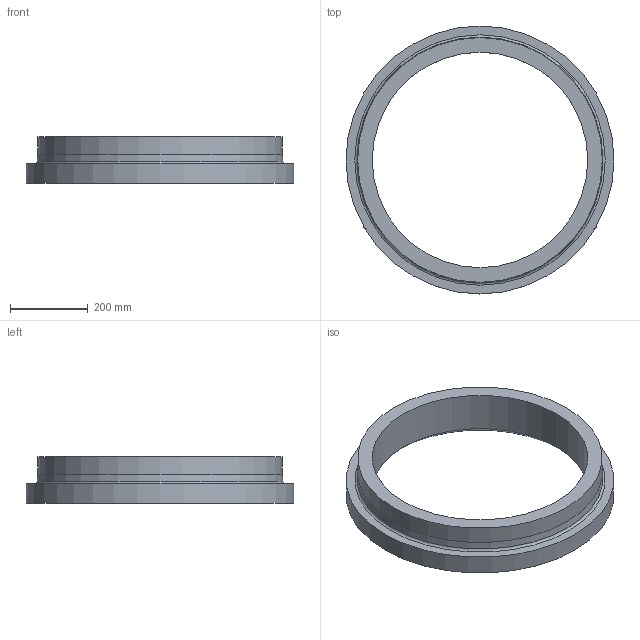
import cadquery as cq
import math

height = 120.0
flange_radius = 345.0
flange_height = 50.0
neck_radius = 315.0
bore_radius = 277.5
taper_top = 75.0
taper_angle = 4.5
root_fillet = 6.0
bore_chamfer = 15.0

slope = math.radians(taper_angle)
fillet_top = flange_height + root_fillet * (1 - math.sin(slope))
fillet_top_radius = neck_radius + (taper_top - fillet_top) * math.tan(slope)
fillet_center_radius = fillet_top_radius + root_fillet * math.cos(slope)
fillet_center_height = flange_height + root_fillet
mid_angle = (slope + math.pi / 2) / 2
fillet_mid = (
    fillet_center_radius - root_fillet * math.cos(mid_angle),
    fillet_center_height - root_fillet * math.sin(mid_angle),
)


def ring_profile():
    """Half section of the ring: x is the radius, y is the height."""
    return (
        cq.Workplane("XZ")
        .moveTo(bore_radius + bore_chamfer, 0)
        .lineTo(flange_radius, 0)
        .lineTo(flange_radius, flange_height)
        .lineTo(fillet_center_radius, flange_height)
        .threePointArc(fillet_mid, (fillet_top_radius, fillet_top))
        .lineTo(neck_radius, taper_top)
        .lineTo(neck_radius, height)
        .lineTo(bore_radius, height)
        .lineTo(bore_radius, bore_chamfer)
        .close()
    )


result = ring_profile().revolve(360, (0, 0, 0), (0, 1, 0))